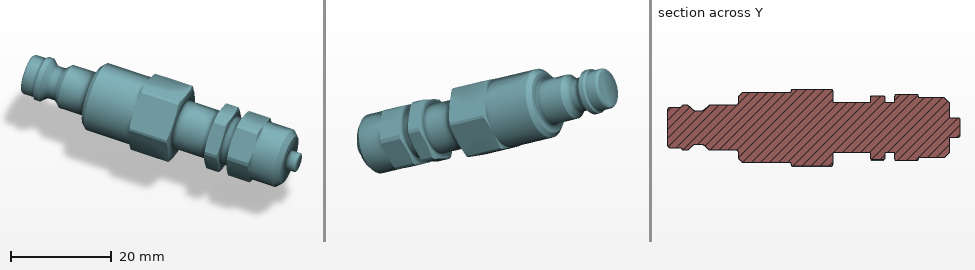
import cadquery as cq
import math

total_length = 58.0

nose_dia = 8.1
nose_round = 0.6
collar_start = 2.65
collar_flat_start = 3.0
collar_flat_end = 4.05
collar_dia = 9.0
groove_dia = 6.7
groove_start = 5.7
groove_end = 6.65
groove_fillet = 1.0
neck_start = 8.3

body_start = 14.05
body_dia = 14.0
body_chamfer = 0.85
neck_fillet = 0.495

sleeve_dia = 10.0
nut_dia = 12.0
nut_end = 55.9
nut_chamfer = 1.05
tube_dia = 3.95
tube_round = 0.35

body_hex_start = 24.4
body_hex_end = 32.9
body_hex_flats = body_dia
body_hex_corners = 15.85
lock_hex_start = 40.2
lock_hex_end = 43.15
nut_hex_start = 44.95
nut_hex_end = 49.8
small_hex_flats = nut_dia
lock_hex_corners = 13.45
nut_hex_corners = 13.4
body_hex_turn = 23.5
nut_hex_turn = 24.0
lock_hex_turn = 19.0
hex_chamfer_angle = 15.0


def plug():
    """Turned profile from the nose to the front of the body."""
    nose_r = nose_dia / 2
    collar_r = collar_dia / 2
    groove_r = groove_dia / 2
    diagonal = math.sqrt(0.5)
    fillet_run = groove_fillet * diagonal
    fillet_rise = groove_fillet * (1 - diagonal)
    mid_run = groove_fillet * math.sin(math.pi / 8)
    mid_rise = groove_fillet * (1 - math.cos(math.pi / 8))
    neck_rise_start = body_start - neck_fillet
    nose_mid = nose_round * (1 - diagonal)
    neck_mid = neck_fillet * diagonal
    return (
        cq.Workplane("XY")
        .moveTo(0, 0)
        .lineTo(0, nose_r - nose_round)
        .threePointArc((nose_mid, nose_r - nose_mid), (nose_round, nose_r))
        .lineTo(collar_start, nose_r)
        .lineTo(collar_flat_start, collar_r)
        .lineTo(collar_flat_end, collar_r)
        .lineTo(groove_start - fillet_run, groove_r + fillet_rise)
        .threePointArc((groove_start - mid_run, groove_r + mid_rise), (groove_start, groove_r))
        .lineTo(groove_end, groove_r)
        .threePointArc(
            (groove_end + mid_run, groove_r + mid_rise),
            (groove_end + fillet_run, groove_r + fillet_rise),
        )
        .lineTo(neck_start, collar_r)
        .lineTo(neck_rise_start, collar_r)
        .threePointArc(
            (neck_rise_start + neck_mid, collar_r + neck_fillet - neck_mid),
            (body_start, collar_r + neck_fillet),
        )
        .lineTo(body_start, 0)
        .close()
        .revolve(360, (0, 0), (1, 0))
    )


def cylinder(start, end, diameter):
    """Solid cylinder along X."""
    return cq.Workplane("YZ", origin=(start, 0, 0)).circle(diameter / 2).extrude(end - start)


def hexagon(start, end, flats, corners, turn):
    """Hexagon along X with trimmed corners and both ends chamfered."""
    prism = (
        cq.Workplane("YZ", origin=(start, 0, 0))
        .polygon(6, flats / math.cos(math.pi / 6))
        .extrude(end - start)
        .rotate((0, 0, 0), (1, 0, 0), -turn)
    )
    corner_r = corners / 2
    flat_r = flats / 2
    setback = (corner_r - flat_r) * math.tan(math.radians(hex_chamfer_angle))
    envelope = (
        cq.Workplane("XY")
        .moveTo(start, 0)
        .lineTo(start, flat_r)
        .lineTo(start + setback, corner_r)
        .lineTo(end - setback, corner_r)
        .lineTo(end, flat_r)
        .lineTo(end, 0)
        .close()
        .revolve(360, (0, 0), (1, 0))
    )
    return prism.intersect(envelope)


body = cylinder(body_start, body_hex_start, body_dia).faces("<X").chamfer(body_chamfer)
body_hex = hexagon(body_hex_start, body_hex_end, body_hex_flats, body_hex_corners, body_hex_turn)
sleeve = cylinder(body_hex_end, nut_hex_start, sleeve_dia)
lock_hex = hexagon(lock_hex_start, lock_hex_end, small_hex_flats, lock_hex_corners, lock_hex_turn)
nut_hex = hexagon(nut_hex_start, nut_hex_end, small_hex_flats, nut_hex_corners, nut_hex_turn)
nut = cylinder(nut_hex_end, nut_end, nut_dia).faces(">X").chamfer(nut_chamfer)
tube = cylinder(nut_end, total_length, tube_dia).faces(">X").edges().fillet(tube_round)

result = plug()
for piece in (body, body_hex, sleeve, lock_hex, nut_hex, nut, tube):
    result = result.union(piece)